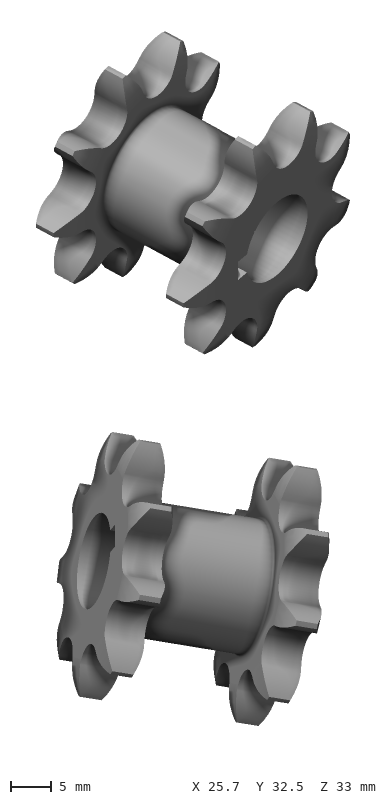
import cadquery as cq
import math

overall_length = 25.7
disc_thickness = 5.2
hub_radius = 8.4
hub_fillet = 0.3

bore_radius = 6.0
keyway_width = 3.0
keyway_reach = 7.55

tooth_count = 9
pitch_radius = 13.92
tip_radius = 16.7
seat_radius = 3.15
seat_angle = 131.5
flank_radius = 8.38

relief_start_radius = 12.07
relief_depth = 1.22

tooth_step = 360 / tooth_count
first_tooth_angle = 180


def polar(radius, degrees):
    angle = math.radians(degrees)
    return radius * math.cos(angle), radius * math.sin(angle)


def tooth_flank():
    """Start, middle and tip of one flank, each as (radius, angle from the tooth axis)."""
    seat_x, seat_y = polar(pitch_radius, tooth_step / 2)
    seat_end_direction = 180 + tooth_step / 2 + seat_angle / 2

    reach_x, reach_y = polar(seat_radius + flank_radius, seat_end_direction)
    centre_x, centre_y = seat_x + reach_x, seat_y + reach_y
    centre_distance = math.hypot(centre_x, centre_y)
    centre_angle = math.degrees(math.atan2(centre_y, centre_x))

    cosine = (tip_radius**2 + centre_distance**2 - flank_radius**2) / (2 * tip_radius * centre_distance)
    tip_angle = centre_angle + math.degrees(math.acos(cosine))

    tip_x, tip_y = polar(tip_radius, tip_angle)
    start_direction = seat_end_direction - 180
    tip_direction = math.degrees(math.atan2(tip_y - centre_y, tip_x - centre_x))

    def on_flank(direction):
        offset_x, offset_y = polar(flank_radius, direction)
        x, y = centre_x + offset_x, centre_y + offset_y
        return math.hypot(x, y), math.degrees(math.atan2(y, x))

    middle = on_flank((start_direction + tip_direction) / 2)
    return on_flank(start_direction), middle, (tip_radius, tip_angle)


def tooth_outline():
    """Closed outline of all teeth, as four arcs per tooth."""
    start, middle, tip = tooth_flank()
    root_radius = pitch_radius - seat_radius

    def point(position, axis_angle, side):
        radius, angle = position
        return polar(radius, axis_angle + side * angle)

    outline = cq.Workplane("YZ").moveTo(*point(start, first_tooth_angle, -1))
    for index in range(tooth_count):
        axis = first_tooth_angle + index * tooth_step
        outline = (
            outline.threePointArc(point(middle, axis, -1), point(tip, axis, -1))
            .threePointArc(polar(tip_radius, axis), point(tip, axis, 1))
            .threePointArc(point(middle, axis, 1), point(start, axis, 1))
            .threePointArc(polar(root_radius, axis + tooth_step / 2), point(start, axis + tooth_step, -1))
        )
    return outline.close()


def relieved_blank():
    """Round disc centred on X = 0, its rim narrowed by arcs tangent to the side faces."""
    half = disc_thickness / 2
    half_tip = half - relief_depth
    rise = tip_radius - relief_start_radius
    relief_radius = (rise**2 + relief_depth**2) / (2 * relief_depth)
    half_sweep = math.asin(rise / relief_radius) / 2
    middle_x = half - relief_radius * (1 - math.cos(half_sweep))
    middle_y = relief_start_radius + relief_radius * math.sin(half_sweep)
    return (
        cq.Workplane("XY")
        .moveTo(-half, 0)
        .lineTo(-half, relief_start_radius)
        .threePointArc((-middle_x, middle_y), (-half_tip, tip_radius))
        .lineTo(half_tip, tip_radius)
        .threePointArc((middle_x, middle_y), (half, relief_start_radius))
        .lineTo(half, 0)
        .close()
        .revolve(360, (0, 0, 0), (1, 0, 0))
    )


def sprocket_disc():
    teeth = tooth_outline().extrude(disc_thickness / 2, both=True)
    return teeth.intersect(relieved_blank())


def hub():
    """Cylinder between the discs, flaring into each disc face with a fillet."""
    half = overall_length / 2 - disc_thickness
    flare_radius = hub_radius + hub_fillet
    fillet_mid = hub_fillet * (1 - math.sqrt(0.5))
    return (
        cq.Workplane("XY")
        .moveTo(-half, 0)
        .lineTo(-half, flare_radius)
        .threePointArc((-half + fillet_mid, hub_radius + fillet_mid), (-half + hub_fillet, hub_radius))
        .lineTo(half - hub_fillet, hub_radius)
        .threePointArc((half - fillet_mid, hub_radius + fillet_mid), (half, flare_radius))
        .lineTo(half, 0)
        .close()
        .revolve(360, (0, 0, 0), (1, 0, 0))
    )


def keyed_bore():
    bore = cq.Workplane("YZ").circle(bore_radius).extrude(overall_length / 2, both=True)
    keyway = (
        cq.Workplane("YZ")
        .center(-keyway_reach / 2, 0)
        .rect(keyway_reach, keyway_width)
        .extrude(overall_length / 2, both=True)
    )
    return bore.union(keyway)


disc = sprocket_disc()
disc_offset = (overall_length - disc_thickness) / 2
result = hub()
for side in (-1, 1):
    result = result.union(disc.translate((side * disc_offset, 0, 0)))
result = result.cut(keyed_bore())